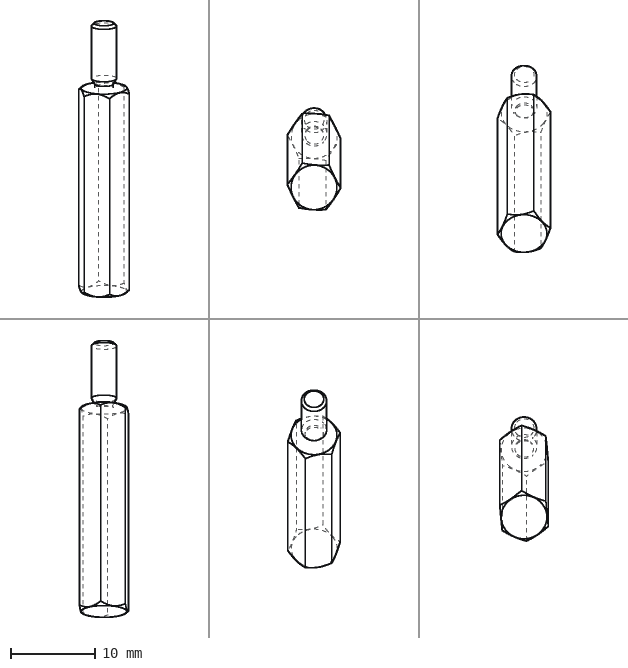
import cadquery as cq
import math

total_height = 33.0
hex_height = 25.0
across_flats = 5.5
across_corners = across_flats / math.cos(math.radians(30))

end_face_diameter = 5.45
corner_chamfer = (across_corners - end_face_diameter) / 2

stud_diameter = 3.0
neck_diameter = 2.2
tip_diameter = 2.3
tip_chamfer = (stud_diameter - tip_diameter) / 2
base_fillet = 0.13
undercut_length = 1.2
taper_angle = 30.0


def make_hex_body():
    """Hexagonal bar with corners along X, trimmed by a double-chamfered cylinder."""
    bar = cq.Workplane("XY").polygon(6, across_corners).extrude(hex_height)
    envelope = (
        cq.Workplane("XY")
        .circle(across_corners / 2)
        .extrude(hex_height)
        .faces("<Z or >Z")
        .chamfer(corner_chamfer)
    )
    return bar.intersect(envelope)


def make_stud():
    """Revolved stud: base fillet, neck, taper, shank and chamfered tip."""
    stud_radius = stud_diameter / 2
    neck_radius = neck_diameter / 2
    shank_bottom = hex_height + undercut_length
    taper_height = (stud_radius - neck_radius) / math.tan(math.radians(taper_angle))
    arc_offset = base_fillet * (1 - math.sqrt(0.5))
    profile = (
        cq.Workplane("XZ")
        .moveTo(0, hex_height)
        .lineTo(neck_radius + base_fillet, hex_height)
        .threePointArc(
            (neck_radius + arc_offset, hex_height + arc_offset),
            (neck_radius, hex_height + base_fillet),
        )
        .lineTo(neck_radius, shank_bottom - taper_height)
        .lineTo(stud_radius, shank_bottom)
        .lineTo(stud_radius, total_height - tip_chamfer)
        .lineTo(tip_diameter / 2, total_height)
        .lineTo(0, total_height)
        .close()
    )
    return profile.revolve(360, (0, 0, 0), (0, 1, 0))


result = make_hex_body().union(make_stud())